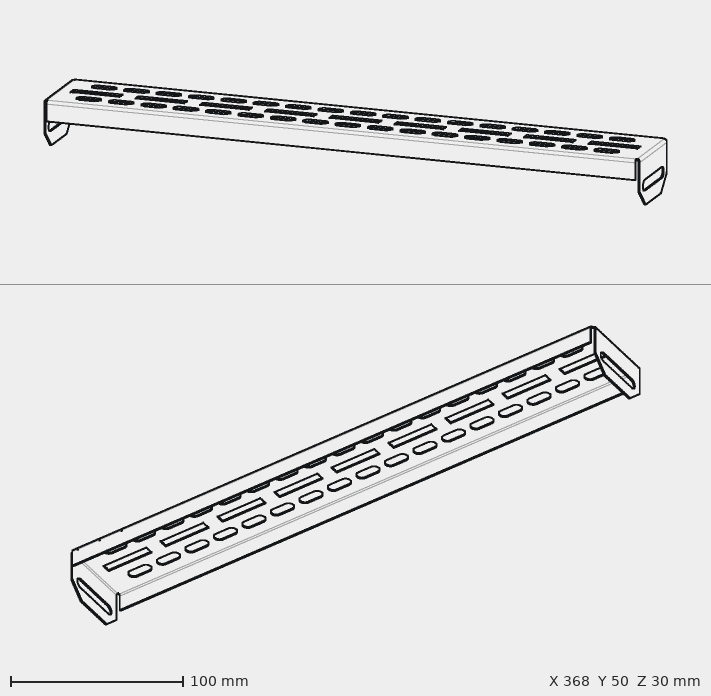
import cadquery as cq

length = 368.0
width = 50.0
height = 30.0

thickness = 1.0
bend_radius = 2.0
inner_radius = bend_radius - thickness

side_height = 12.5
side_end_gap = 2.2

end_width = 45.5
end_chamfer = 10.0
end_slot_length = 35.5
end_slot_height = 6.5
end_slot_depth = 18.0

row_span = 319.8
row_offset = 13.0
outer_slot_count = 17
outer_slot_length = 15.0
outer_slot_width = 6.5
middle_slot_count = 9
middle_slot_length = 30.0
middle_slot_width = 5.5


def bent_channel(plane, span, depth, run):
    """Inverted U-shaped sheet with rounded bends, open at the bottom and centred along its run."""
    outer = (
        cq.Workplane(plane)
        .center(0, -depth / 2)
        .rect(span, depth)
        .extrude(run / 2, both=True)
    )
    inner = (
        cq.Workplane(plane)
        .center(0, -thickness - depth / 2)
        .rect(span - 2 * thickness, depth)
        .extrude(run / 2, both=True)
    )
    run_axis = "|Y" if plane == "XZ" else "|X"
    outer = outer.edges(run_axis).edges(">Z").fillet(bend_radius)
    inner = inner.edges(run_axis).edges(">Z").fillet(inner_radius)
    return outer.cut(inner)


def row_centres(count, offset):
    """Workplane on the top face with evenly spaced points along one row of openings."""
    pitch = row_span / (count - 1)
    return cq.Workplane("XY").center(0, offset).rarray(pitch, 3.5, count, 1)


side_channel = bent_channel("YZ", width, side_height, length - 2 * side_end_gap)

end_channel = bent_channel("XZ", length, height, end_width)
end_channel = end_channel.edges("|X and <Z").edges("<Y or >Y").chamfer(end_chamfer)

result = side_channel.union(end_channel)

end_slots = (
    cq.Workplane("YZ")
    .center(0, -end_slot_depth)
    .slot2D(end_slot_length, end_slot_height)
    .extrude(length, both=True)
)
result = result.cut(end_slots)

for offset in (-row_offset, row_offset):
    outer_slots = (
        row_centres(outer_slot_count, offset)
        .slot2D(outer_slot_length, outer_slot_width)
        .extrude(thickness, both=True)
    )
    result = result.cut(outer_slots)

middle_slots = (
    row_centres(middle_slot_count, 0)
    .rect(middle_slot_length, middle_slot_width)
    .extrude(thickness, both=True)
)
result = result.cut(middle_slots)